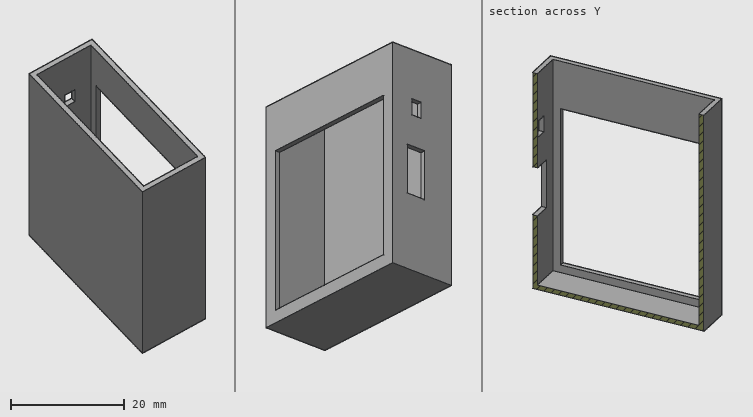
import cadquery as cq

width = 34.0
depth = 13.7
height = 43.4
wall = 1.0

window_margin = 2.5
window_top = 33.85

port_slot_width = 4.0
port_slot_height = 9.6
port_slot_bottom = 14.85
port_slot_y = 1.4
small_port_width = 2.15
small_port_height = 3.15
small_port_bottom = 30.55
small_port_y = 1.3


def upright_box(size_x, size_y, size_z, x, y, bottom):
    """Box centred on x and y, with its underside at the given height."""
    return cq.Workplane("XY").box(size_x, size_y, size_z, centered=(True, True, False)).translate((x, y, bottom))


def side_port(port_width, port_height, y, bottom):
    """Cutter for a rectangular opening through the -X wall."""
    return upright_box(2 * wall, port_width, port_height, -width / 2, y, bottom)


outer = upright_box(width, depth, height, 0, 0, 0)
cavity = upright_box(width - 2 * wall, depth - 2 * wall, height, 0, 0, wall)

window = upright_box(
    width - 2 * window_margin, 2 * wall, window_top - window_margin,
    0, depth / 2, window_margin,
)
port_slot = side_port(port_slot_width, port_slot_height, port_slot_y, port_slot_bottom)
small_port = side_port(small_port_width, small_port_height, small_port_y, small_port_bottom)

result = outer.cut(cavity).cut(window).cut(port_slot).cut(small_port)